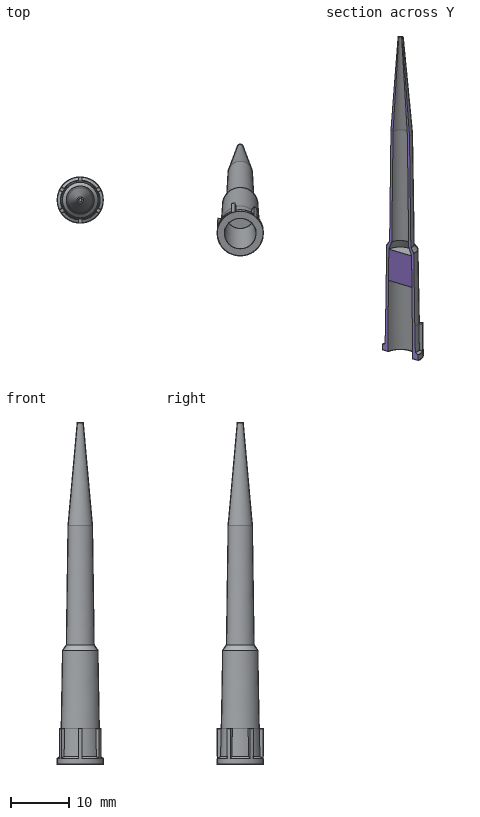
import cadquery as cq

TOTAL_HEIGHT = 58.5

FLANGE_RADIUS = 3.95
FLANGE_HEIGHT = 1.05
LEDGE_HEIGHT = 1.35
COLLAR_BOTTOM_RADIUS = 3.4
COLLAR_TOP_RADIUS = 3.3
COLLAR_TOP = 6.15
SHOULDER_RADIUS = 3.05
SHOULDER_BOTTOM = 19.55
SHOULDER_TOP = 20.4
BARREL_BOTTOM_RADIUS = 2.4
BARREL_TOP_RADIUS = 2.1
BARREL_TOP = 40.9
MOUTH_RADIUS = 0.5

RIB_COUNT = 6
RIB_WIDTH = 0.65
RIB_ANGLE_STEP = 360 / RIB_COUNT
FIRST_RIB_ANGLE = 90

WALL = 0.6
ORIFICE_RADIUS = 0.265

FILTER_HEIGHT = 5.85
FILTER_TOP = SHOULDER_BOTTOM - WALL
FILTER_BOTTOM = FILTER_TOP - FILTER_HEIGHT

BORE_TOP_RADIUS = SHOULDER_RADIUS - WALL
BORE_BOTTOM_RADIUS = COLLAR_TOP_RADIUS - WALL


def bore_radius(height):
    """Radius of the straight-tapered wide bore at a height."""
    fraction = height / FILTER_TOP
    return BORE_BOTTOM_RADIUS + fraction * (BORE_TOP_RADIUS - BORE_BOTTOM_RADIUS)


def revolve_profile(points):
    """Revolve a closed (radius, height) outline about the Z axis."""
    return cq.Workplane("XZ").polyline(points).close().revolve(360, (0, 0), (0, 1))


def make_outer_shape():
    return revolve_profile([
        (0, 0),
        (FLANGE_RADIUS, 0),
        (FLANGE_RADIUS, FLANGE_HEIGHT),
        (COLLAR_BOTTOM_RADIUS, LEDGE_HEIGHT),
        (COLLAR_TOP_RADIUS, COLLAR_TOP),
        (SHOULDER_RADIUS, SHOULDER_BOTTOM),
        (BARREL_BOTTOM_RADIUS, SHOULDER_TOP),
        (BARREL_TOP_RADIUS, BARREL_TOP),
        (MOUTH_RADIUS, TOTAL_HEIGHT),
        (0, TOTAL_HEIGHT),
    ])


def make_rib(angle):
    """One radial rib whose outer face is flush with the flange."""
    bar = (
        cq.Workplane("XY")
        .box(FLANGE_RADIUS, RIB_WIDTH, COLLAR_TOP, centered=(False, True, False))
        .rotate((0, 0, 0), (0, 0, 1), angle)
    )
    envelope = cq.Workplane("XY").circle(FLANGE_RADIUS).extrude(COLLAR_TOP)
    return bar.intersect(envelope)


def make_bore():
    return revolve_profile([
        (0, 0),
        (BORE_BOTTOM_RADIUS, 0),
        (BORE_TOP_RADIUS, FILTER_TOP),
        (BARREL_BOTTOM_RADIUS - WALL, SHOULDER_TOP),
        (BARREL_TOP_RADIUS - WALL, BARREL_TOP),
        (ORIFICE_RADIUS, TOTAL_HEIGHT),
        (0, TOTAL_HEIGHT),
    ])


def make_tip():
    tip = make_outer_shape()
    for index in range(RIB_COUNT):
        tip = tip.union(make_rib(FIRST_RIB_ANGLE + index * RIB_ANGLE_STEP))
    return tip.cut(make_bore())


def make_filter_plug():
    """Tapered plug that fits the bore wall."""
    return revolve_profile([
        (0, FILTER_BOTTOM),
        (bore_radius(FILTER_BOTTOM), FILTER_BOTTOM),
        (BORE_TOP_RADIUS, FILTER_TOP),
        (0, FILTER_TOP),
    ])


tip = make_tip()
filter_plug = make_filter_plug()

result = cq.Compound.makeCompound([tip.val(), filter_plug.val()])